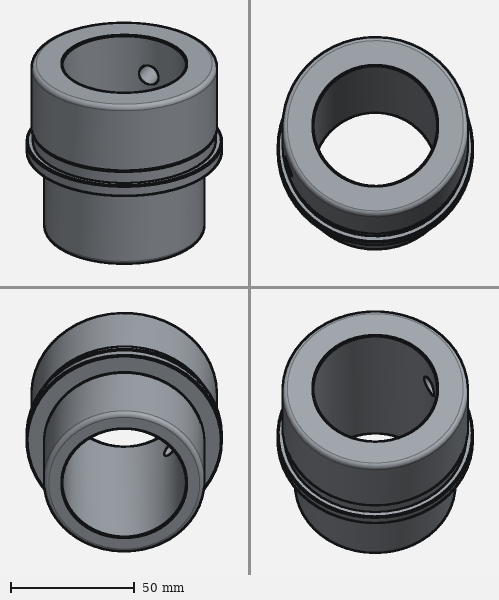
import cadquery as cq

flange_bottom = 35.0
flange_top = 40.0
head_bottom = 46.0
total_height = 75.0

spigot_radius = 32.5
flange_radius = 39.5
groove_radius = 37.0
head_radius = 37.5
bore_radius = 24.95

spigot_fillet = 2.0
head_fillet = 2.0
edge_chamfer = 0.5
groove_taper_height = 1.0
relief_depth = 0.6
relief_height = 1.7

radial_hole_diameter = 8.5
radial_hole_height = 58.0


def cylinder(radius, bottom, top):
    return cq.Workplane("XY").workplane(offset=bottom).circle(radius).extrude(top - bottom)


def cone(bottom_radius, top_radius, bottom, top):
    profile = [(0, bottom), (bottom_radius, bottom), (top_radius, top), (0, top)]
    return cq.Workplane("XZ").polyline(profile).close().revolve(360, (0, 0), (0, 1))


relief_bottom = flange_bottom - relief_height
spigot = cylinder(spigot_radius, 0, relief_bottom).faces("<Z").edges().fillet(spigot_fillet)
relief = cone(spigot_radius, spigot_radius - relief_depth, relief_bottom, flange_bottom)

flange = cylinder(flange_radius, flange_bottom, flange_top).edges().chamfer(edge_chamfer)

taper_bottom = head_bottom - groove_taper_height
groove = cylinder(groove_radius, flange_top, taper_bottom)
taper = cone(groove_radius, head_radius, taper_bottom, head_bottom)
head = cylinder(head_radius, head_bottom, total_height).faces(">Z").edges().fillet(head_fillet)

body = spigot.union(relief).union(flange).union(groove).union(taper).union(head)

bore = cylinder(bore_radius, 0, total_height)
mouth_radius = bore_radius + edge_chamfer
bottom_mouth = cone(mouth_radius, bore_radius, 0, edge_chamfer)
top_mouth = cone(bore_radius, mouth_radius, total_height - edge_chamfer, total_height)
body = body.cut(bore).cut(bottom_mouth).cut(top_mouth)

radial_hole = (
    cq.Workplane("XZ")
    .center(0, radial_hole_height)
    .circle(radial_hole_diameter / 2)
    .extrude(-flange_radius)
)
result = body.cut(radial_hole)